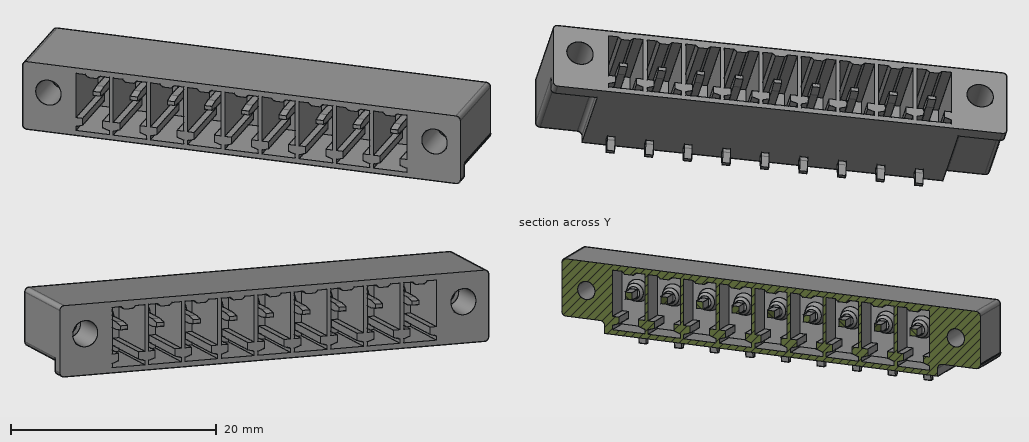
import cadquery as cq


OVERALL_LENGTH = 44.9
BEAD_RADIUS = 0.05
LENGTH = OVERALL_LENGTH - BEAD_RADIUS
DEPTH = 9.2
HEIGHT = 7.1
CORNER_RADIUS = 0.45

PIN_COUNT = 9
CONTACT_SPAN = 30.47
PITCH = CONTACT_SPAN / (PIN_COUNT - 1)
AXIS_Z = 4.15

PARTITION = 0.4
CAVITY_WIDTH = PITCH - PARTITION
CAVITY_DEPTH = 6.75
CAVITY_FLOOR_Z = 0.55
CAVITY_ROOF_Z = 6.5
RIB_REACH = 0.67
RIB_TOP_Z = 1.9
RIB_TIP_LOW_Z = 1.15
RIB_ROOT_LOW_Z = 0.95
KEY_DROP = 0.25
KEY_ROOT_WIDTH = 1.53
KEY_TIP_WIDTH = 0.9

BOSS_BASE_RADIUS = 1.1
BOSS_SHOULDER_RADIUS = 0.9
BOSS_FACE_RADIUS = 0.65
BOSS_SHOULDER_LENGTH = 0.67
BOSS_LENGTH = BOSS_SHOULDER_LENGTH + BOSS_SHOULDER_RADIUS - BOSS_FACE_RADIUS

HOLE_X = LENGTH / 2 - 2.65
HOLE_DIAMETER = 1.8
COUNTERBORE_DIAMETER = 2.6
COUNTERBORE_DEPTH = 4.5

FLANGE_THICKNESS = 1.25
UNDERCUT_WIDTH = 4.6
UNDERCUT_ROOF_Z = 1.25
UNDERCUT_RADIUS = 0.45
BEAD_Z = UNDERCUT_ROOF_Z + UNDERCUT_RADIUS + BEAD_RADIUS

PIN_SIZE = 0.75
PIN_TIP_Y = 1.2
PIN_TAPER = 1.1
PIN_END_SIZE = 0.4
LEG_Y = 8.05
LEG_BOTTOM_Z = -1.53

pin_positions = [(i - (PIN_COUNT - 1) / 2) * PITCH for i in range(PIN_COUNT)]


def extrude_back(outline, start_y, end_y):
    """Extrude a closed XZ outline from start_y to end_y."""
    return outline.extrude(start_y - end_y).translate((0, start_y, 0))


def make_block():
    block = cq.Workplane("XY").box(LENGTH, DEPTH, HEIGHT, centered=(True, False, False))
    return block.edges("|Y").fillet(CORNER_RADIUS)


def make_undercut():
    """Cutter for the -X end: rounded at the outer lip and in the inner corner."""
    outer_x = -LENGTH / 2
    inner_x = outer_x + UNDERCUT_WIDTH
    radius = UNDERCUT_RADIUS
    outline = (
        cq.Workplane("XZ")
        .moveTo(outer_x, 0)
        .lineTo(outer_x, UNDERCUT_ROOF_Z + radius)
        .radiusArc((outer_x + radius, UNDERCUT_ROOF_Z), -radius)
        .lineTo(inner_x - radius, UNDERCUT_ROOF_Z)
        .radiusArc((inner_x, UNDERCUT_ROOF_Z - radius), radius)
        .lineTo(inner_x, 0)
        .close()
    )
    return extrude_back(outline, FLANGE_THICKNESS, DEPTH)


def make_bead():
    """Thin bead along the +X end, just above the rounded lip of the undercut."""
    outline = cq.Workplane("XZ").center(LENGTH / 2, BEAD_Z).circle(BEAD_RADIUS)
    return extrude_back(outline, FLANGE_THICKNESS, DEPTH)


def make_mounting_hole(x):
    hole = cq.Workplane("XZ").center(x, AXIS_Z).circle(HOLE_DIAMETER / 2)
    counterbore = cq.Workplane("XZ").center(x, AXIS_Z).circle(COUNTERBORE_DIAMETER / 2)
    return extrude_back(hole, 0, DEPTH).union(extrude_back(counterbore, 0, COUNTERBORE_DEPTH))


def make_boss():
    """Two-step cone on the contact axis, standing on the cavity back wall."""
    face_y = CAVITY_DEPTH - BOSS_LENGTH
    shoulder_y = CAVITY_DEPTH - BOSS_SHOULDER_LENGTH
    half_section = [
        (0, face_y),
        (BOSS_FACE_RADIUS, face_y),
        (BOSS_SHOULDER_RADIUS, shoulder_y),
        (BOSS_BASE_RADIUS, CAVITY_DEPTH),
        (0, CAVITY_DEPTH),
    ]
    boss = cq.Workplane("XY").polyline(half_section).close().revolve(360, (0, 0, 0), (0, 1, 0))
    return boss.translate((0, 0, AXIS_Z))


def make_cavity():
    """Cutter for one cavity at X = 0, with its roof key, side ribs and boss left standing."""
    half_width = CAVITY_WIDTH / 2
    rib_x = half_width - RIB_REACH
    right_half = [
        (half_width, CAVITY_FLOOR_Z),
        (half_width, RIB_ROOT_LOW_Z),
        (rib_x, RIB_TIP_LOW_Z),
        (rib_x, RIB_TOP_Z),
        (half_width, RIB_TOP_Z),
        (half_width, CAVITY_ROOF_Z),
        (KEY_ROOT_WIDTH / 2, CAVITY_ROOF_Z),
        (KEY_TIP_WIDTH / 2, CAVITY_ROOF_Z - KEY_DROP),
    ]
    left_half = [(-x, z) for x, z in reversed(right_half)]
    outline = cq.Workplane("XZ").polyline(right_half + left_half).close()
    return extrude_back(outline, 0, CAVITY_DEPTH).cut(make_boss())


def make_pin(x):
    """L-shaped pin: a contact pointing forward and a solder leg pointing down, both tapered."""
    half = PIN_SIZE / 2
    half_end = PIN_END_SIZE / 2
    contact_taper_y = PIN_TIP_Y + PIN_TAPER
    leg_taper_z = LEG_BOTTOM_Z + PIN_TAPER
    side_outline = [
        (PIN_TIP_Y, AXIS_Z + half_end),
        (contact_taper_y, AXIS_Z + half),
        (LEG_Y + half, AXIS_Z + half),
        (LEG_Y + half, leg_taper_z),
        (LEG_Y + half_end, LEG_BOTTOM_Z),
        (LEG_Y - half_end, LEG_BOTTOM_Z),
        (LEG_Y - half, leg_taper_z),
        (LEG_Y - half, AXIS_Z - half),
        (contact_taper_y, AXIS_Z - half),
        (PIN_TIP_Y, AXIS_Z - half_end),
    ]
    pin = cq.Workplane("YZ").polyline(side_outline).close().extrude(half, both=True)
    return pin.translate((x, 0, 0))


def make_housing(pins):
    housing = make_block()
    undercut = make_undercut()
    housing = housing.cut(undercut).cut(undercut.mirror("YZ")).union(make_bead())
    for x in (-HOLE_X, HOLE_X):
        housing = housing.cut(make_mounting_hole(x))
    cavity = make_cavity()
    for x, pin in zip(pin_positions, pins):
        housing = housing.cut(cavity.translate((x, 0, 0)))
        housing = housing.cut(pin)
    return housing.solids()


pins = [make_pin(x) for x in pin_positions]
housing = make_housing(pins)

result = cq.Compound.makeCompound([housing.val(), *[pin.val() for pin in pins]])